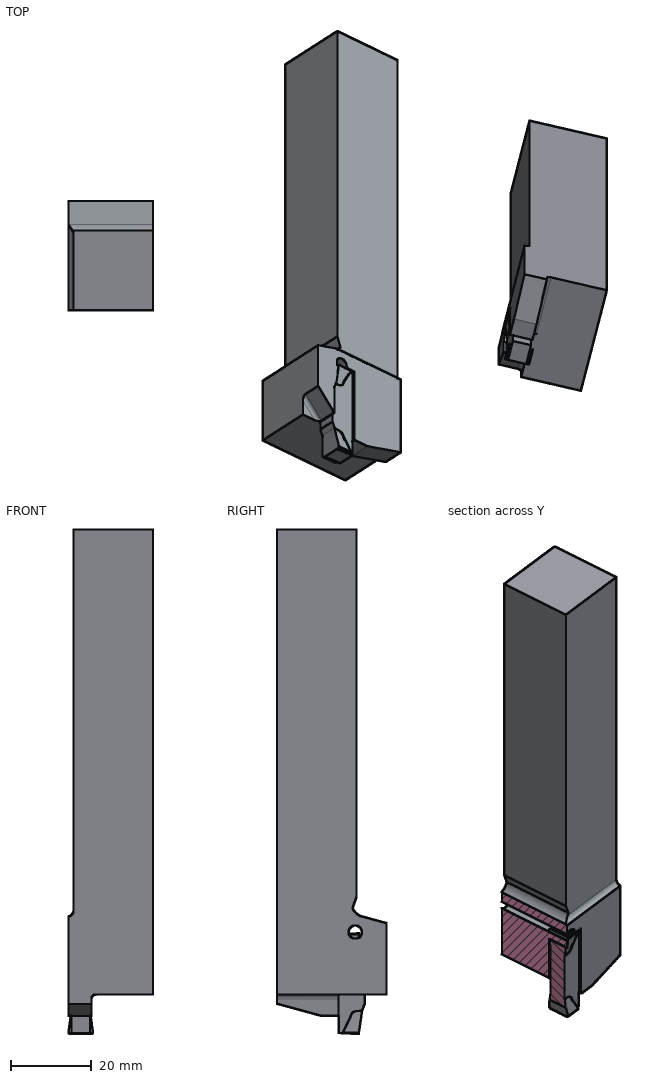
import cadquery as cq
import math

tool_length = 125.0
overall_width = 21.0
shank_size = 19.8
shank_left = overall_width - shank_size

head_depth = 27.1
head_bottom = 9.8
blade_left = 0.0
blade_right = 5.8
blade_bottom = 4.5
blade_heel_y = 11.0
blade_front_z = 7.5
jaw_y = 21.9
jaw_slope_top = 15.4
root_radius = 1.0

shoulder_z = 27.5
shoulder_root_y = 21.2
shoulder_root_z = 29.1
neck_y = 18.8
neck_z = 31.2
neck_top = 34.0
step_radius = 1.5
step_top = 30.6

relief_y = 19.4
relief_z = 25.2
relief_radius = 1.6

insert_length = 25.0
insert_base_y = 15.2
insert_back_y = 21.8
back_taper_z = 7.5
rake_y = 21.1
rake_z = 5.9
tip_y = 20.2
tip_width = 6.1
insert_width = 4.6
flank_top_y = 19.2
flank_top_z = 5.6
flank_side_y = 18.2
flank_side_z = 4.4
flank_round = 1.5
flank_end_y = 16.2
base_clearance = 0.2
tip_chamfer = 0.4
insert_middle_x = tip_width / 2


def side_profile(points, left, right):
    """Extrude a closed outline of (Y, Z) points from X = left to X = right."""
    return cq.Workplane("YZ").workplane(offset=left).polyline(points).close().extrude(right - left)


def mirror_end(points):
    """Turn points at the lower insert end into the matching upper end."""
    return [(y, insert_length - z) for y, z in reversed(points)]


def make_insert_outline():
    lower_end = [
        (insert_base_y, base_clearance),
        (tip_y, 0),
        (rake_y, rake_z),
        (insert_back_y, back_taper_z),
    ]
    return lower_end + mirror_end(lower_end)


def make_insert():
    body_left = insert_middle_x - insert_width / 2
    body = side_profile(make_insert_outline(), body_left, body_left + insert_width)

    flank = (
        cq.Workplane("YZ")
        .moveTo(flank_end_y, base_clearance)
        .lineTo(tip_y, 0)
        .lineTo(rake_y, rake_z)
        .lineTo(flank_top_y, flank_top_z)
        .radiusArc((flank_side_y, flank_side_z), -flank_round)
        .close()
        .extrude(tip_width)
    )
    half_widths = [
        (tip_width / 2 - tip_chamfer, 0),
        (tip_width / 2, tip_chamfer),
        (insert_width / 2, rake_z),
    ]
    right_side = [(insert_middle_x + half, z) for half, z in half_widths]
    left_side = [(insert_middle_x - half, z) for half, z in reversed(half_widths)]
    flare = cq.Workplane("XZ").polyline(right_side + left_side).close().extrude(-head_depth)
    lower_tip = flank.intersect(flare)
    upper_tip = lower_tip.mirror("XY", (0, 0, insert_length / 2))
    return body.union(lower_tip).union(upper_tip)


def make_shank_and_head():
    neck_radius = math.dist((shoulder_root_y, shoulder_root_z), (neck_y, neck_z))
    profile = (
        cq.Workplane("YZ")
        .workplane(offset=blade_left)
        .moveTo(0, head_bottom)
        .lineTo(head_depth, head_bottom)
        .lineTo(head_depth, shoulder_z)
        .lineTo(shoulder_root_y, shoulder_root_z)
        .radiusArc((neck_y, neck_z), neck_radius)
        .lineTo(shank_size, neck_top)
        .lineTo(shank_size, tool_length)
        .lineTo(0, tool_length)
        .close()
        .extrude(overall_width - blade_left)
    )
    step_depth = shank_left - blade_left
    step_drop = math.sqrt(step_radius**2 - (step_radius - step_depth) ** 2)
    setback = (
        cq.Workplane("XZ")
        .moveTo(blade_left, step_top - step_drop)
        .radiusArc((shank_left, step_top), -step_radius)
        .lineTo(shank_left, tool_length)
        .lineTo(blade_left, tool_length)
        .close()
        .extrude(-head_depth)
    )
    return profile.cut(setback)


def make_holder():
    jaw_trim = side_profile(
        [(head_depth, jaw_slope_top), (jaw_y, head_bottom), (head_depth, head_bottom)],
        blade_left,
        blade_right,
    )
    blade = side_profile(
        [
            (0, head_bottom),
            (0, blade_front_z),
            (blade_heel_y, blade_bottom),
            (insert_base_y, blade_bottom),
            (insert_base_y, head_bottom),
        ],
        blade_left,
        blade_right,
    )
    holder = make_shank_and_head().cut(jaw_trim).union(blade)

    blade_root = cq.selectors.BoxSelector(
        (blade_right - root_radius / 2, 0, head_bottom - root_radius / 2),
        (blade_right + root_radius / 2, insert_base_y, head_bottom + root_radius / 2),
    )
    jaw_root = cq.selectors.BoxSelector(
        (blade_right - root_radius / 2, jaw_y, head_bottom + root_radius),
        (blade_right + root_radius / 2, head_depth, jaw_slope_top),
    )
    holder = holder.edges(blade_root).fillet(root_radius)
    holder = holder.edges(jaw_root).fillet(root_radius)

    seat = side_profile(make_insert_outline(), blade_left, blade_right)
    relief_hole = (
        cq.Workplane("YZ").center(relief_y, relief_z).circle(relief_radius).extrude(overall_width)
    )
    return holder.cut(seat).cut(relief_hole)


insert = make_insert()
holder = make_holder().cut(insert)

result = cq.Compound.makeCompound([holder.val(), insert.val()])